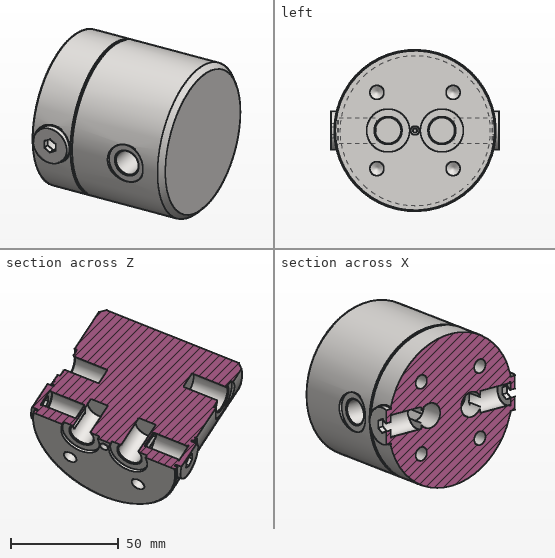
import cadquery as cq
import math

body_dia = 75.0
body_length = 70.0
flange_length = 21.1
edge_chamfer = 0.55
end_chamfer = 2.65

port_dia = 12.0
port_chamfer = 0.5
port_depth = 18.0

face_port_offset = 12.5
face_seat_dia = 20.0
face_seat_depth = 1.5
screw_circle_dia = 50.0
screw_hole_dia = 6.55
screw_hole_depth = 15.6
center_mouth_dia = 4.1
center_mouth_angle = 60
pilot_dia = 1.95
pilot_depth = 2.35
drill_point_angle = 118

front_port_x = 50.1
rear_port_x = 34.0
side_seat_dia = 19.0
side_seat_plane = 36.0

plug_x = 10.6
plug_dia = 17.9
plug_span = 78.0
socket_flats = 6.0

FRONT = -1
REAR = 1


def rod(diameter, start, length, direction):
    """Cylinder that grows from start along direction."""
    return cq.Workplane(cq.Solid.makeCylinder(diameter / 2, length, cq.Vector(*start), cq.Vector(*direction)))


def cone(large_dia, small_dia, start, length, direction):
    """Cone that tapers from large_dia at start along direction."""
    solid = cq.Solid.makeCone(large_dia / 2, small_dia / 2, length, cq.Vector(*start), cq.Vector(*direction))
    return cq.Workplane(solid)


def taper_length(large_dia, small_dia, included_angle):
    """Height of a cone between two diameters."""
    return (large_dia - small_dia) / 2 / math.tan(math.radians(included_angle / 2))


def drill(diameter, start, depth, direction):
    """Cutter for a blind hole with a pointed bottom; depth is to the start of the point."""
    bottom = cq.Vector(*start) + cq.Vector(*direction) * depth
    point_length = taper_length(diameter, 0, drill_point_angle)
    point = cone(diameter, 0, bottom.toTuple(), point_length, direction)
    return rod(diameter, start, depth, direction).union(point)


def port_cutter(start, direction):
    """Flat-bottomed port bore with a chamfered mouth."""
    mouth = cone(port_dia + 2 * port_chamfer, port_dia, start, port_chamfer, direction)
    return rod(port_dia, start, port_depth, direction).union(mouth)


def make_body():
    flange = cq.Workplane("YZ").circle(body_dia / 2).extrude(flange_length)
    flange = flange.faces("<X or >X").chamfer(edge_chamfer)
    housing_length = body_length - flange_length
    housing = cq.Workplane("YZ", origin=(flange_length, 0, 0)).circle(body_dia / 2).extrude(housing_length)
    housing = housing.faces("<X").chamfer(edge_chamfer).faces(">X").chamfer(end_chamfer)
    return flange.union(housing)


def cut_side_port(body, x, side):
    """Port bored from a flat round seat sunk into the curved wall."""
    seat_center = (x, side * side_seat_plane, 0)
    body = body.cut(rod(side_seat_dia, seat_center, plug_span / 2, (0, side, 0)))
    return body.cut(port_cutter(seat_center, (0, -side, 0)))


def make_plug(side):
    """Flat round plug with a through hex socket, two of its flats facing along X."""
    outer_center = (plug_x, side * plug_span / 2, 0)
    inward = (0, -side, 0)
    plug_height = plug_span / 2 - side_seat_plane
    corner_dia = socket_flats / math.cos(math.radians(30))
    outer_plane = cq.Plane(origin=outer_center, xDir=(0, 0, 1), normal=inward)
    socket = cq.Workplane(outer_plane).polygon(6, corner_dia).extrude(plug_height)
    return rod(plug_dia, outer_center, plug_height, inward).cut(socket)


def add_plugged_port(body, side):
    """Cross port that breaks into the face port, covered by a plug on its seat."""
    return cut_side_port(body, plug_x, side).union(make_plug(side))


def cut_face_port(body, side):
    y = side * face_port_offset
    body = body.cut(rod(face_seat_dia, (0, y, 0), face_seat_depth, (1, 0, 0)))
    return body.cut(port_cutter((face_seat_depth, y, 0), (1, 0, 0)))


def cut_screw_holes(body):
    for angle in (45, 135, 225, 315):
        y = screw_circle_dia / 2 * math.cos(math.radians(angle))
        z = screw_circle_dia / 2 * math.sin(math.radians(angle))
        body = body.cut(drill(screw_hole_dia, (0, y, z), screw_hole_depth, (1, 0, 0)))
    return body


def cut_center_hole(body):
    """Center-drilled hole: a conical mouth leading to a pointed pilot."""
    axis = (1, 0, 0)
    pilot_start = taper_length(center_mouth_dia, pilot_dia, center_mouth_angle)
    body = body.cut(cone(center_mouth_dia, pilot_dia, (0, 0, 0), pilot_start, axis))
    return body.cut(drill(pilot_dia, (pilot_start, 0, 0), pilot_depth, axis))


result = make_body()
result = cut_side_port(result, front_port_x, FRONT)
result = cut_side_port(result, rear_port_x, REAR)
for side in (FRONT, REAR):
    result = cut_face_port(result, side)
    result = add_plugged_port(result, side)
result = cut_screw_holes(result)
result = cut_center_hole(result)